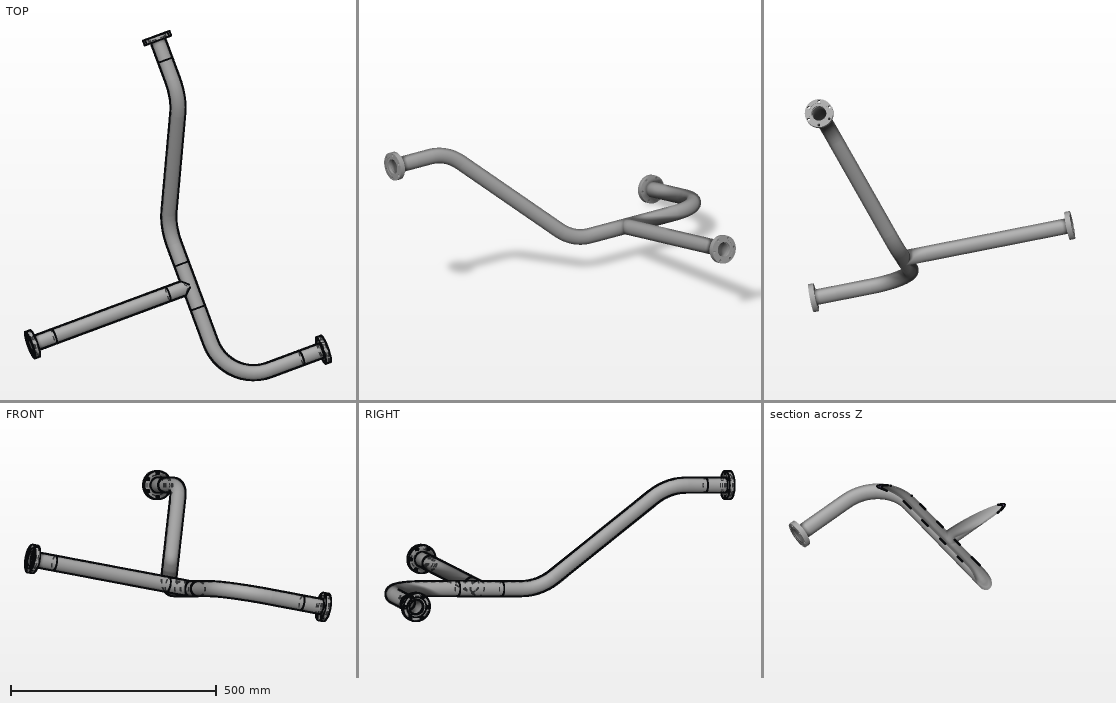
import cadquery as cq
import math


TUBE_OD = 38.1
TUBE_ID = 34.8

FLANGE_OD = 69.34
FLANGE_THICKNESS = 12.7
FLANGE_BORE = 36.52
SOCKET_DIAMETER = 38.35
SOCKET_DEPTH = 5.0
SEAL_RECESS_DIAMETER = 49.39
SEAL_RECESS_DEPTH = 1.2
BOLT_COUNT = 6
BOLT_HOLE_DIAMETER = 6.73
BOLT_CIRCLE = 58.72

TEE_LEG = 57.15
FLANGE_TO_STUB_END = 63.5
BEND_RADIUS = 111.4
BRANCH_LENGTH = 299.5
ELBOW_LEAD_IN = 90.0
ELBOW_LEAD_OUT = 86.2
RISER_LEAD = 50.8
RISER_SLOPE_LENGTH = 310.1

HEADING = 20.36
TILT = 10.05
RISER_ROLL = 18.2
RISER_BEND = 45.2
ELBOW_BEND = 90.0

TEE_CENTRE = cq.Vector(0, 0, 0)
ACROSS = cq.Vector(1, 0, 0)
ALONG = cq.Vector(0, 1, 0)
RISE = cq.Vector(math.sin(math.radians(RISER_ROLL)), 0, math.cos(math.radians(RISER_ROLL)))
UPRIGHT = cq.Vector(-math.sin(math.radians(TILT)), 0, math.cos(math.radians(TILT)))


def straight_tube(start, heading, length):
    """Straight hollow tube from its start point."""
    plane = cq.Plane(origin=start, normal=heading)
    section = cq.Workplane(plane).circle(TUBE_OD / 2).circle(TUBE_ID / 2)
    return section.extrude(length)


def bent_tube(start, heading, runs, bends):
    """One hollow tube through straight runs, with a bend after every run but the last.

    Each bend is (direction turned towards, angle in degrees); the direction is square
    to the heading before the bend. Returns the tube, its end point and its end heading.
    """
    plane = cq.Plane(origin=start, normal=heading)
    point = start
    edges = []
    for index, run in enumerate(runs):
        corner = point + heading * run
        edges.append(cq.Edge.makeLine(point, corner))
        point = corner
        if index < len(bends):
            side, angle = bends[index]
            centre = point + side * BEND_RADIUS
            half, full = math.radians(angle / 2), math.radians(angle)
            middle, end = (
                centre + (heading * math.sin(a) - side * math.cos(a)) * BEND_RADIUS for a in (half, full)
            )
            edges.append(cq.Edge.makeThreePointArc(point, middle, end))
            point = end
            heading = heading * math.cos(full) + side * math.sin(full)
    path = cq.Workplane(obj=cq.Wire.assembleEdges(edges))
    tube = cq.Workplane(plane).circle(TUBE_OD / 2).circle(TUBE_ID / 2).sweep(path)
    return tube, point, heading


def make_tee():
    """Equal tee: run along ALONG, branch opposite ACROSS."""
    def cross(diameter):
        run = cq.Workplane(cq.Plane(origin=TEE_CENTRE - ALONG * TEE_LEG, normal=ALONG))
        leg = cq.Workplane(cq.Plane(origin=TEE_CENTRE, normal=ACROSS * -1))
        run_body = run.circle(diameter / 2).extrude(2 * TEE_LEG)
        return run_body.union(leg.circle(diameter / 2).extrude(TEE_LEG))

    return cross(TUBE_OD).cut(cross(TUBE_ID))


def make_stub(start, heading):
    """Weld stub from a tube end into its flange's socket."""
    return straight_tube(start, heading, FLANGE_TO_STUB_END - FLANGE_THICKNESS + SOCKET_DEPTH)


def make_flange(start, heading, bolt_axis):
    """Bolted flange at the end of the stub that begins at start; one bolt hole lies on bolt_axis."""
    back_centre = start + heading * (FLANGE_TO_STUB_END - FLANGE_THICKNESS)
    back = cq.Workplane(cq.Plane(origin=back_centre, xDir=bolt_axis, normal=heading))
    body = back.circle(FLANGE_OD / 2).circle(FLANGE_BORE / 2).extrude(FLANGE_THICKNESS)
    body = body.cut(back.circle(SOCKET_DIAMETER / 2).extrude(SOCKET_DEPTH))
    recess = back.workplane(offset=FLANGE_THICKNESS - SEAL_RECESS_DEPTH)
    body = body.cut(recess.circle(SEAL_RECESS_DIAMETER / 2).extrude(SEAL_RECESS_DEPTH))
    bolt_holes = back.polarArray(BOLT_CIRCLE / 2, 0, 360, BOLT_COUNT)
    return body.cut(bolt_holes.circle(BOLT_HOLE_DIAMETER / 2).extrude(FLANGE_THICKNESS))


tee = make_tee()

branch_start = TEE_CENTRE - ACROSS * TEE_LEG
branch_tube = straight_tube(branch_start, ACROSS * -1, BRANCH_LENGTH)
branch_end = branch_start - ACROSS * BRANCH_LENGTH

elbow_tube, elbow_end, elbow_heading = bent_tube(
    TEE_CENTRE - ALONG * TEE_LEG,
    ALONG * -1,
    [ELBOW_LEAD_IN, ELBOW_LEAD_OUT],
    [(ACROSS, ELBOW_BEND)],
)

slope_side = RISE * -math.cos(math.radians(RISER_BEND)) + ALONG * math.sin(math.radians(RISER_BEND))
riser_tube, riser_end, riser_heading = bent_tube(
    TEE_CENTRE + ALONG * TEE_LEG,
    ALONG,
    [RISER_LEAD, RISER_SLOPE_LENGTH, RISER_LEAD],
    [(RISE, RISER_BEND), (slope_side, RISER_BEND)],
)

tube_ends = [
    (branch_end, ACROSS * -1, ALONG),
    (elbow_end, elbow_heading, ALONG),
    (riser_end, riser_heading, UPRIGHT),
]
stubs = [make_stub(point, heading) for point, heading, bolt_axis in tube_ends]
flanges = [make_flange(point, heading, bolt_axis) for point, heading, bolt_axis in tube_ends]

bodies = [tee, branch_tube, elbow_tube, riser_tube, *stubs, *flanges]


def set_attitude(body):
    """Tilt a body about Y, then turn it about Z, both through the tee centre."""
    tilted = body.rotate((0, 0, 0), (0, 1, 0), TILT)
    return tilted.rotate((0, 0, 0), (0, 0, 1), HEADING)


result = cq.Compound.makeCompound([set_attitude(body).val() for body in bodies])